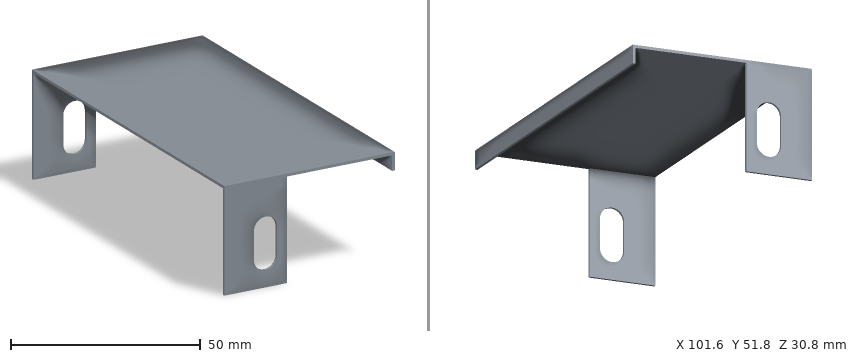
import cadquery as cq

length = 101.6
depth = 51.8
height = 30.8
sheet = 0.8

leg_width = 19.0

lip_height = 5.2

slot_width = 7.0
slot_height = 15.0
slot_from_front = 12.5
slot_from_bottom = 12.4


def block(size_x, size_y, size_z, x, y, z):
    """Box with its lowest corner at (x, y, z)."""
    return cq.Workplane("XY").box(size_x, size_y, size_z, centered=False).translate((x, y, z))


left = -length / 2
front = -depth / 2
back = depth / 2

result = block(length, depth, sheet, left, front, height - sheet)

for leg_left in (left, -left - sheet):
    result = result.union(block(sheet, leg_width, height, leg_left, front, 0))

result = result.union(
    block(length, sheet, lip_height, left, back - sheet, height - lip_height)
)

slot_cutter = (
    cq.Workplane("YZ")
    .center(front + slot_from_front, slot_from_bottom)
    .slot2D(slot_height, slot_width, 90)
    .extrude(length / 2, both=True)
)
result = result.cut(slot_cutter)